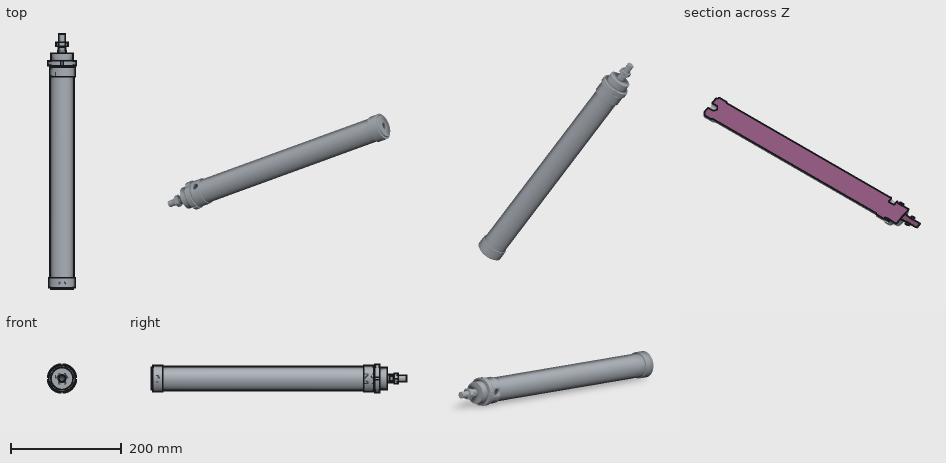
import cadquery as cq
import math


overall_length = 462.0
front_face_y = overall_length - 35.0
rear_spigot_length = 3.0
cap_length = 18.0
front_shoulder_y = front_face_y - 25.0

tube_diameter = 44.0
cap_diameter = 48.1
neck_diameter = 40.0

port_diameter = 11.7
port_chamfer = 0.7

port_flat_x = -22.5
side_port_depth = 10.0
side_port_y = front_shoulder_y - cap_length / 2

rear_port_depth = 12.0
drill_point_angle = 118.0

rod_diameter = 15.0
thread_diameter = 12.0
thread_length = 24.2
rod_flat_width = 13.0
rod_flat_length = 6.3

hex_across_flats = 19.0
hex_thickness = 7.0
hex_front_y = overall_length - 15.5

ring_diameter = 52.0
ring_thickness = 8.5
ring_front_y = front_face_y - 14.0
slot_count = 4
slot_width = 5.0
slot_depth = 2.0


def cylinder_along_y(diameter, start_y, end_y):
    """Round bar on the Y axis between two stations."""
    profile = cq.Workplane("XZ", origin=(0, start_y, 0)).circle(diameter / 2)
    return profile.extrude(start_y - end_y)


def make_port(depth, point_height):
    """Cutter for a chamfered blind port that opens at Y = 0 and runs towards +Y."""
    radius = port_diameter / 2
    half_section = (
        cq.Workplane("XY")
        .lineTo(radius + port_chamfer, 0)
        .lineTo(radius, port_chamfer)
        .lineTo(radius, depth)
        .lineTo(0, depth + point_height)
        .close()
    )
    return half_section.revolve(360, (0, 0, 0), (0, 1, 0))


def make_cylinder_body():
    """Tube with both end caps, rear spigot, front neck and the two ports."""
    rear_cap_front_y = rear_spigot_length + cap_length
    front_cap_rear_y = front_shoulder_y - cap_length
    rear_cap = cylinder_along_y(cap_diameter, rear_spigot_length, rear_cap_front_y)
    front_cap = cylinder_along_y(cap_diameter, front_cap_rear_y, front_shoulder_y)

    flat_cut = cq.Workplane("XY").box(cap_diameter, cap_length, cap_diameter)
    flat_cut = flat_cut.translate((port_flat_x - cap_diameter / 2, side_port_y, 0))
    front_cap = front_cap.cut(flat_cut)

    body = (
        cylinder_along_y(tube_diameter, rear_cap_front_y, front_cap_rear_y)
        .union(rear_cap)
        .union(front_cap)
        .union(cylinder_along_y(neck_diameter, 0, rear_spigot_length))
        .union(cylinder_along_y(neck_diameter, front_shoulder_y, front_face_y))
    )
    point_height = port_diameter / 2 / math.tan(math.radians(drill_point_angle / 2))
    rear_port = make_port(rear_port_depth, point_height)
    side_port = make_port(side_port_depth, 0).rotate((0, 0, 0), (0, 0, 1), -90)
    side_port = side_port.translate((port_flat_x, side_port_y, 0))
    return body.cut(side_port).cut(rear_port)


def make_rod():
    """Piston rod with a reduced threaded end and two spanner flats."""
    thread_start_y = overall_length - thread_length
    rod = cylinder_along_y(rod_diameter, front_face_y, thread_start_y)
    for side in (-1, 1):
        flat_cut = cq.Workplane("XY").box(rod_diameter, rod_flat_length, rod_diameter)
        flat_x = side * (rod_flat_width + rod_diameter) / 2
        flat_y = thread_start_y - rod_flat_length / 2
        rod = rod.cut(flat_cut.translate((flat_x, flat_y, 0)))
    return rod.union(cylinder_along_y(thread_diameter, thread_start_y, overall_length))


def make_hex_nut():
    """Hexagon nut with corners on the X axis and flats facing +Z and -Z."""
    across_corners = hex_across_flats / math.cos(math.pi / 6)
    return (
        cq.Workplane("XZ", origin=(0, hex_front_y, 0))
        .polygon(6, across_corners)
        .circle(thread_diameter / 2)
        .extrude(hex_thickness)
    )


def make_ring_nut():
    """Round nut with spanner slots on the X and Z axes."""
    ring = (
        cq.Workplane("XZ", origin=(0, ring_front_y, 0))
        .circle(ring_diameter / 2)
        .circle(neck_diameter / 2)
        .extrude(ring_thickness)
    )
    slots = (
        cq.Workplane("XZ", origin=(0, ring_front_y, 0))
        .polarArray(ring_diameter / 2, 0, 360, slot_count)
        .rect(2 * slot_depth, slot_width)
        .extrude(ring_thickness)
    )
    return ring.cut(slots)


cylinder_body = make_cylinder_body()
rod = make_rod()
hex_nut = make_hex_nut()
ring_nut = make_ring_nut()

result = cq.Compound.makeCompound(
    [cylinder_body.val(), rod.val(), hex_nut.val(), ring_nut.val()]
)